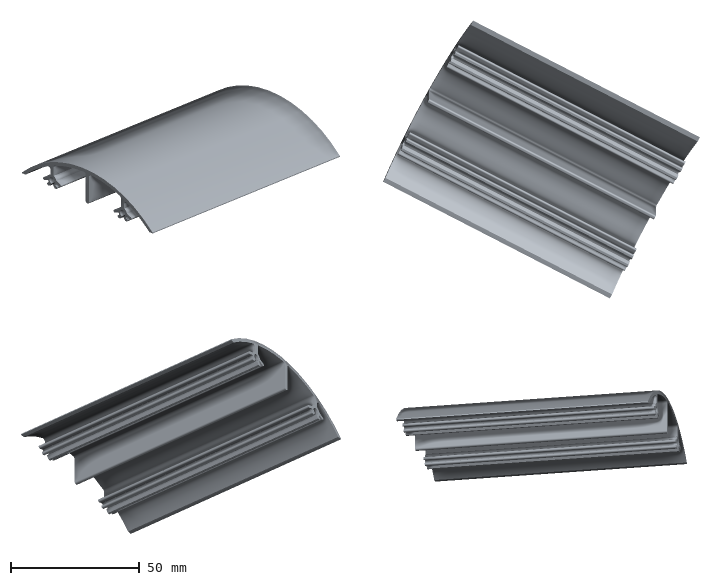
import cadquery as cq
import math

length = 100.0
width = 74.0
height = 14.5
wall = 1.5
edge_land = 0.4

rib_width = 1.8
rib_tip_radius = 0.7
rib_root_fillet = 1.0

clip_offset = 20.0
stem_width = 1.8
stem_outer_fillet = 1.1
stem_inner_fillet = 1.0
bore_radius = 1.4
bore_height = 2.7
clip_wall = 1.2

mouth_half_gap = 0.5
mouth_height = 1.2
mouth_half_flare = 1.5

arm_thickness = 1.2
arm_root_z = 3.3
arm_tip_x = 4.5
arm_tip_z = 2.1
foot_thickness = 1.2
foot_start_x = 1.3
foot_tip_x = 2.2
groove_radius = 0.6
groove_x = 2.6
groove_z = 1.6

fillet_search_reach = 0.1

arc_rise = height - edge_land
outer_radius = ((width / 2) ** 2 + arc_rise**2) / (2 * arc_rise)
inner_radius = outer_radius - wall
arc_centre_z = height - outer_radius
middle_radius = outer_radius - wall / 2


def profile_plane():
    """Plane whose local axes are part X and Z, extruding toward +Y."""
    return cq.Workplane(cq.Plane(origin=(0, 0, 0), xDir=(1, 0, 0), normal=(0, -1, 0)))


def cylinder(x, z, radius):
    return profile_plane().center(x, z).circle(radius).extrude(-length)


def bar(x_min, x_max, z_min, z_max):
    centre = ((x_min + x_max) / 2, (z_min + z_max) / 2)
    return profile_plane().center(*centre).rect(x_max - x_min, z_max - z_min).extrude(-length)


def round_ended_strip(start, end, thickness):
    """Straight strip with half-round ends centred on start and end."""
    dx = end[0] - start[0]
    dz = end[1] - start[1]
    centre = ((start[0] + end[0]) / 2, (start[1] + end[1]) / 2)
    angle = math.degrees(math.atan2(dz, dx))
    overall = math.hypot(dx, dz) + thickness
    return profile_plane().center(*centre).slot2D(overall, thickness, angle).extrude(-length)


def middle_of_wall(x):
    """Height of the middle of the cover wall at x."""
    return arc_centre_z + math.sqrt(middle_radius**2 - x**2)


def fillet_root(body, x, radius):
    """Round the inside corner where a vertical face at x meets the cover."""
    root_z = arc_centre_z + math.sqrt(inner_radius**2 - x**2)
    corner = cq.selectors.BoxSelector(
        (x - fillet_search_reach, 0, root_z - fillet_search_reach),
        (x + fillet_search_reach, length, root_z + fillet_search_reach),
    )
    return body.edges("|Y").edges(corner).fillet(radius)


def make_cover():
    ring = cylinder(0, arc_centre_z, outer_radius).cut(cylinder(0, arc_centre_z, inner_radius))
    return ring.intersect(bar(-width / 2, width / 2, 0, height))


def make_rib():
    rib = bar(-rib_width / 2, rib_width / 2, 0, middle_of_wall(0))
    return rib.faces("<Z").edges("|Y").fillet(rib_tip_radius)


def make_stem():
    """Stem centred on X = 0, from inside the clip wall into the cover wall."""
    stem_bottom = bore_height + bore_radius + clip_wall / 2
    return bar(-stem_width / 2, stem_width / 2, stem_bottom, middle_of_wall(clip_offset))


def make_clip():
    """Clip centred on X = 0, without its stem."""
    clip = cylinder(0, bore_height, bore_radius + clip_wall)
    for side in (-1, 1):
        foot_start = (side * foot_start_x, foot_thickness / 2)
        foot_tip = (side * foot_tip_x, foot_thickness / 2)
        clip = clip.union(round_ended_strip(foot_start, foot_tip, foot_thickness))
        clip = clip.cut(cylinder(side * groove_x, groove_z, groove_radius))
        arm_start = (side * bore_radius, arm_root_z)
        arm_tip = (side * arm_tip_x, arm_tip_z)
        clip = clip.union(round_ended_strip(arm_start, arm_tip, arm_thickness))
    mouth = (
        profile_plane()
        .moveTo(-mouth_half_flare, 0)
        .lineTo(-mouth_half_gap, mouth_height)
        .lineTo(-mouth_half_gap, bore_height)
        .lineTo(mouth_half_gap, bore_height)
        .lineTo(mouth_half_gap, mouth_height)
        .lineTo(mouth_half_flare, 0)
        .close()
        .extrude(-length)
    )
    return clip.cut(mouth).cut(cylinder(0, bore_height, bore_radius))


hanging_clip = make_stem().union(make_clip())
result = make_cover().union(make_rib())
for side in (-1, 1):
    result = result.union(hanging_clip.translate((side * clip_offset, 0, 0)))
    result = fillet_root(result, side * rib_width / 2, rib_root_fillet)
    result = fillet_root(result, side * (clip_offset - stem_width / 2), stem_inner_fillet)
    result = fillet_root(result, side * (clip_offset + stem_width / 2), stem_outer_fillet)